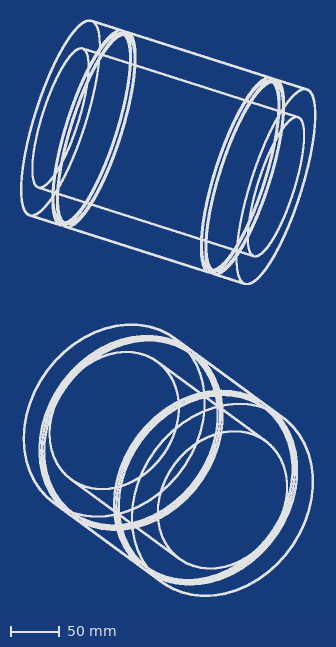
import cadquery as cq

length = 240.0
outer_diameter = 210.0
bore_diameter = 150.0

groove_diameter = 204.0
groove_width = 5.0
groove_outer_span = 170.5


def cylinder_along_x(diameter, width, center_x=0.0):
    """Solid cylinder on the X axis, centred at center_x."""
    start = cq.Workplane("YZ").workplane(offset=center_x - width / 2)
    return start.circle(diameter / 2).extrude(width)


def groove_ring(center_x):
    """Ring of material removed to form one outer groove."""
    ring = cylinder_along_x(outer_diameter, groove_width, center_x)
    core = cylinder_along_x(groove_diameter, groove_width, center_x)
    return ring.cut(core)


result = cylinder_along_x(outer_diameter, length)
result = result.cut(cylinder_along_x(bore_diameter, length))

groove_center = (groove_outer_span - groove_width) / 2
for side in (-1, 1):
    result = result.cut(groove_ring(side * groove_center))